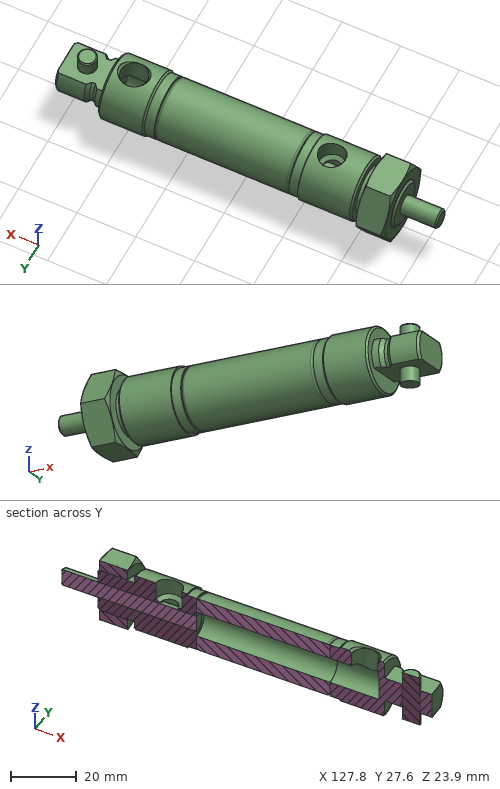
import cadquery as cq
import math


overall_length = 127.8
neck_start = 12.4
nut_start = 13.0
nut_width = 9.8
head_start = 25.0
head_shoulder_end = 43.5
barrel_start = 46.7
barrel_end = 92.7
cap_shoulder_start = 95.9
cap_end = 111.6

rod_radius = 3.2
rod_chamfer = 0.5

nut_across_flats = 23.9
nut_across_corners = nut_across_flats / math.cos(math.radians(30))
nut_face_radius = 11.8
nut_chamfer_depth = 0.8

neck_radius = 7.9
neck_chamfer = 0.9
shoulder_radius = 10.9
shoulder_chamfer = 0.6
barrel_radius = 10.4
barrel_chamfer = 0.6
barrel_rounding = 0.8
bore_radius = 4.7
bore_end = 109.4

port_radius = 4.5
head_port_x = 37.1
head_port_tip_radius = 3.1
head_port_cone_top = 4.5
head_port_cone_bottom = 3.5
cap_port_x = 104.5
cap_port_mouth_radius = 5.2
cap_port_mouth_depth = 1.0

tongue_radius = 7.9
tongue_thickness = 9.3
tongue_chamfer = 0.8
groove_start = 114.0
groove_end = 117.7
groove_floor = 1.2
groove_depth = 1.2
pin_x = 120.5
pin_radius = 3.1
pin_length = 18.9
pin_chamfer = 0.4


def turned(profile):
    """Solid of revolution about the X axis from (x, radius) points that start and end on the axis."""
    return cq.Workplane("XY").polyline(profile).close().revolve(360, (0, 0, 0), (1, 0, 0))


def axial_cylinder(start, end, radius):
    """Plain cylinder along the X axis."""
    return cq.Workplane("YZ", origin=(start, 0, 0)).circle(radius).extrude(end - start)


def vertical_cone(x, bottom_z, bottom_radius, top_z, top_radius):
    """Frustum about a vertical line at the given X."""
    height = top_z - bottom_z
    base_centre = cq.Vector(x, 0, bottom_z)
    return cq.Workplane(obj=cq.Solid.makeCone(bottom_radius, top_radius, height, pnt=base_centre))


def vertical_hole(x, bottom_z, radius):
    """Cutter from bottom_z up past the outside of the shoulder."""
    return cq.Workplane("XY", origin=(x, 0, bottom_z)).circle(radius).extrude(shoulder_radius)


def make_rod():
    """Rod from its chamfered tip to the rear face of the head."""
    return axial_cylinder(0, barrel_start, rod_radius).faces("<X").chamfer(rod_chamfer)


def make_nut():
    """Hexagon nut with flats above and below, its corners chamfered on both faces."""
    hexagon = cq.Workplane("YZ", origin=(nut_start, 0, 0)).polygon(6, nut_across_corners).extrude(nut_width)
    corner_radius = nut_across_corners / 2
    nut_end = nut_start + nut_width
    chamfered_envelope = turned([
        (nut_start, 0),
        (nut_start, nut_face_radius),
        (nut_start + nut_chamfer_depth, corner_radius),
        (nut_end - nut_chamfer_depth, corner_radius),
        (nut_end, nut_face_radius),
        (nut_end, 0),
    ])
    neck_hole = axial_cylinder(nut_start, nut_end, neck_radius)
    return hexagon.intersect(chamfered_envelope).cut(neck_hole)


def make_head_blank():
    """Threaded neck, shoulder and rear collar, before drilling."""
    return turned([
        (neck_start, 0),
        (neck_start, neck_radius - neck_chamfer),
        (neck_start + neck_chamfer, neck_radius),
        (head_start, neck_radius),
        (head_start, shoulder_radius - shoulder_chamfer),
        (head_start + shoulder_chamfer, shoulder_radius),
        (head_shoulder_end, shoulder_radius),
        (head_shoulder_end, barrel_radius),
        (barrel_start, barrel_radius),
        (barrel_start, 0),
    ])


def make_head():
    """Head with the rod hole and a port that narrows through a cone down to the rod."""
    rod_hole = axial_cylinder(neck_start, barrel_start, rod_radius)
    port = vertical_hole(head_port_x, head_port_cone_top, port_radius)
    port_cone = vertical_cone(
        head_port_x, head_port_cone_bottom, head_port_tip_radius, head_port_cone_top, port_radius
    )
    port_tip = vertical_hole(head_port_x, 0, head_port_tip_radius)
    return make_head_blank().cut(rod_hole).cut(port).cut(port_cone).cut(port_tip)


def make_barrel():
    """Tube whose end chamfers are rounded into the outside."""
    tube = axial_cylinder(barrel_start, barrel_end, barrel_radius).edges().chamfer(barrel_chamfer)
    rounded = tube.faces("%CYLINDER").edges("%CIRCLE").fillet(barrel_rounding)
    return rounded.cut(axial_cylinder(barrel_start, barrel_end, bore_radius))


def make_cap():
    """Rear cap with tongue, blind axial bore, port with a countersunk mouth, and pin hole."""
    body = turned([
        (barrel_end, 0),
        (barrel_end, barrel_radius),
        (cap_shoulder_start, barrel_radius),
        (cap_shoulder_start + shoulder_chamfer, shoulder_radius),
        (cap_end - shoulder_chamfer, shoulder_radius),
        (cap_end, shoulder_radius - shoulder_chamfer),
        (cap_end, 0),
    ])
    bore = axial_cylinder(barrel_end, bore_end, bore_radius)
    port = vertical_hole(cap_port_x, 0, port_radius)
    mouth = vertical_cone(
        cap_port_x, shoulder_radius - cap_port_mouth_depth, port_radius, shoulder_radius, cap_port_mouth_radius
    )
    pin_hole = make_pin()
    return body.union(make_tongue()).cut(bore).cut(port).cut(mouth).cut(pin_hole)


def make_tongue():
    """Turned stub with a sloped-sided groove, flattened above and below."""
    groove_middle = (groove_start + groove_end) / 2
    groove_radius = tongue_radius - groove_depth
    stub = turned([
        (cap_end, 0),
        (cap_end, tongue_radius),
        (groove_start, tongue_radius),
        (groove_middle - groove_floor / 2, groove_radius),
        (groove_middle + groove_floor / 2, groove_radius),
        (groove_end, tongue_radius),
        (overall_length - tongue_chamfer, tongue_radius),
        (overall_length, tongue_radius - tongue_chamfer),
        (overall_length, 0),
    ])
    flats = cq.Workplane("XY").box(2 * overall_length, 2 * tongue_radius, tongue_thickness)
    return stub.intersect(flats)


def make_pin():
    """Clevis pin across the tongue, chamfered at its upper end."""
    blank = cq.Workplane("XY", origin=(pin_x, 0, -pin_length / 2)).circle(pin_radius).extrude(pin_length)
    return blank.faces(">Z").chamfer(pin_chamfer)


rod = make_rod()
nut = make_nut()
head = make_head()
barrel = make_barrel()
cap = make_cap()
pin = make_pin()

result = cq.Compound.makeCompound([rod.val(), nut.val(), head.val(), barrel.val(), cap.val(), pin.val()])